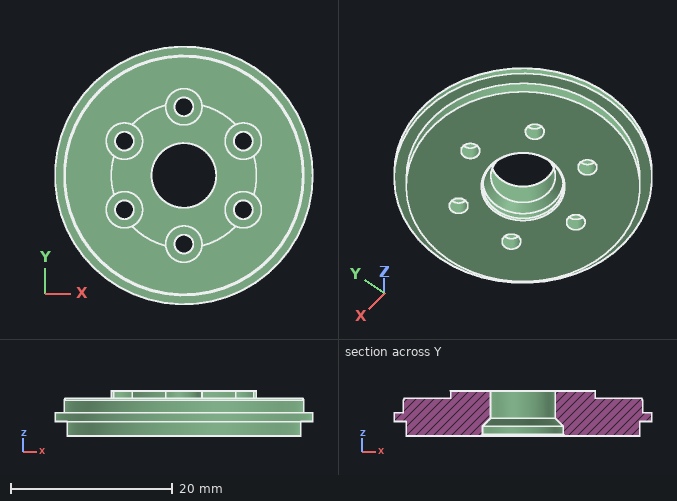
import cadquery as cq

total_height = 5.6
lower_diameter = 29.0
flange_diameter = 32.0
upper_diameter = 29.8
boss_diameter = 18.0
flange_bottom = 1.8
flange_top = 2.9
upper_top = 4.7
edge_chamfer_height = 0.3
edge_chamfer_width = 0.15

bore_diameter = 8.0
recess_diameter = 10.0
recess_depth = 2.2
recess_mouth_chamfer = 0.2

screw_count = 6
screw_circle_radius = 8.5
screw_diameter = 2.3
counterbore_diameter = 4.5
counterbore_floor = 2.2


def disc(diameter, bottom, top):
    """Vertical cylinder on the Z axis between two heights."""
    return cq.Workplane("XY").workplane(offset=bottom).circle(diameter / 2).extrude(top - bottom)


def screw_ring(diameter, bottom, top):
    """Cylinders at all screw positions, the first one on +Y."""
    return (
        cq.Workplane("XY")
        .workplane(offset=bottom)
        .polarArray(screw_circle_radius, 90, 360, screw_count)
        .circle(diameter / 2)
        .extrude(top - bottom)
    )


upper_disc = disc(upper_diameter, flange_top, upper_top)
upper_disc = upper_disc.faces(">Z").edges().chamfer(edge_chamfer_height, edge_chamfer_width)
body = disc(lower_diameter, 0, flange_bottom)
body = body.union(disc(flange_diameter, flange_bottom, flange_top))
body = body.union(upper_disc)
body = body.union(disc(boss_diameter, upper_top, total_height))

body = body.cut(disc(bore_diameter, 0, total_height))
recess = disc(recess_diameter, 0, recess_depth)
recess = recess.faces(">Z").edges().chamfer((recess_diameter - bore_diameter) / 2)
body = body.cut(recess)
mouth_edge = cq.selectors.RadiusNthSelector(0)
body = body.faces("<Z").edges(mouth_edge).chamfer(recess_mouth_chamfer)

body = body.cut(screw_ring(screw_diameter, 0, total_height))
result = body.cut(screw_ring(counterbore_diameter, counterbore_floor, total_height))